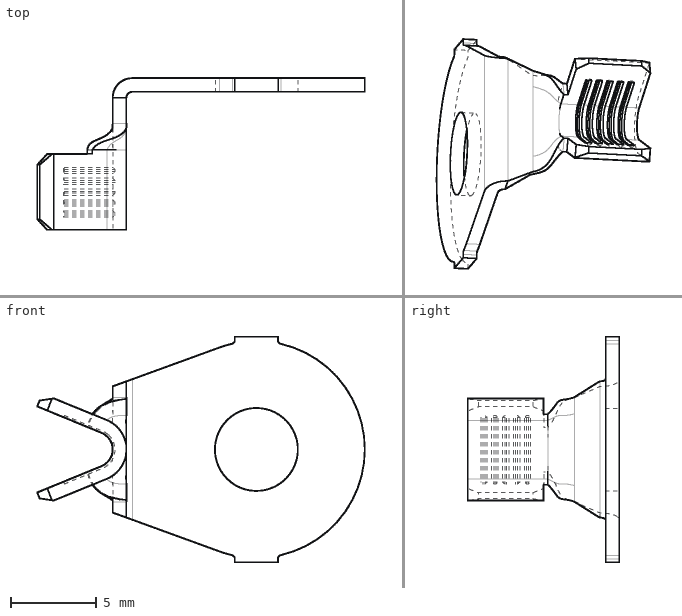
import cadquery as cq
import math


SHEET = 0.8128
OVERALL_X = 19.18
OVERALL_Y = 8.89
OVERALL_Z = 13.21

RING_RADIUS = 6.35
HOLE_RADIUS = 2.42
TAPER_ANGLE = math.radians(20)
TAB_WIDTH = 2.54
TAB_ROOT_FILLET = 0.2

BEND_INNER_RADIUS = 0.35
WEB_FRONT_X = -7.6
WEB_END_Y = -2.66
WEB_END_HALF = 3.05

CRADLE_LENGTH = 4.445
CRADLE_INNER_RADIUS = 1.05
ARM_ANGLE = math.radians(22.3)
TIP_BEVEL_LENGTH = 0.72
TIP_THICKNESS = 0.38
TIP_CORNER = 0.64

NECK_END_Y = -4.2
NECK_FLAT_ARM = 0.95
NECK_FINAL_ARM = 0.9
NECK_STEPS = 5

GROOVE_COUNT = 5
GROOVE_PITCH = 0.635
GROOVE_TOP_WIDTH = 0.37
GROOVE_FLOOR_WIDTH = 0.11
GROOVE_DEPTH = 0.127
GROOVE_END_HALF = 1.885

BEND_OUTER_RADIUS = BEND_INNER_RADIUS + SHEET
BEND_X = WEB_FRONT_X + BEND_INNER_RADIUS
WEB_BACK_X = WEB_FRONT_X - SHEET
BEND_END_Y = -BEND_OUTER_RADIUS

CRADLE_OUTER_RADIUS = CRADLE_INNER_RADIUS + SHEET
CRADLE_AXIS_X = WEB_FRONT_X - CRADLE_OUTER_RADIUS
CRADLE_FRONT_Y = -OVERALL_Y
CRADLE_BACK_Y = CRADLE_FRONT_Y + CRADLE_LENGTH
HALF_WRAP = math.pi / 2 - ARM_ANGLE
TIP_X = RING_RADIUS - OVERALL_X
ARM_LENGTH = (
    CRADLE_AXIS_X + CRADLE_INNER_RADIUS * math.sin(ARM_ANGLE) - TIP_X
) / math.cos(ARM_ANGLE)

ALONG_ARM = (-math.cos(ARM_ANGLE), 0, math.sin(ARM_ANGLE))
ARM_NORMAL = (math.sin(ARM_ANGLE), 0, math.cos(ARM_ANGLE))


def taper_half_height(x):
    """Half height of the tapered side edge, tangent to the ring, at a given x."""
    return (RING_RADIUS + x * math.sin(TAPER_ANGLE)) / math.cos(TAPER_ANGLE)


def mirrored(body):
    """The body joined with its mirror image across the XY mid-plane."""
    return body.union(body.mirror("XY"))


def tapered_outline(x_start, x_end):
    """Symmetric trapezoid bounded by the tapered side edges, spanning the plate and bend in Y."""
    z_start = taper_half_height(x_start)
    z_end = taper_half_height(x_end)
    return (
        cq.Workplane("XZ")
        .polyline([(x_start, -z_start), (x_end, -z_end), (x_end, z_end), (x_start, z_start)])
        .close()
    )


def ring_plate():
    """Round plate with its taper towards the bend, two side tabs and the hole."""
    tangent_x = -RING_RADIUS * math.sin(TAPER_ANGLE)
    plate = tapered_outline(BEND_X, tangent_x).extrude(SHEET)
    plate = plate.union(cq.Workplane("XZ").circle(RING_RADIUS).extrude(SHEET))
    plate = plate.union(cq.Workplane("XZ").rect(TAB_WIDTH, OVERALL_Z).extrude(SHEET))
    root_x = TAB_WIDTH / 2
    root_z = math.sqrt(RING_RADIUS**2 - root_x**2)
    for x in (-root_x, root_x):
        for z in (-root_z, root_z):
            corner = cq.selectors.NearestToPointSelector((x, -SHEET / 2, z))
            plate = plate.edges("|Y").edges(corner).fillet(TAB_ROOT_FILLET)
    return plate.cut(cq.Workplane("XZ").circle(HOLE_RADIUS).extrude(SHEET))


def plate_bend():
    """Quarter bend from the plate to the web, trimmed by the tapered side edges."""
    diagonal = math.sqrt(0.5)
    outer_mid = (BEND_X - BEND_OUTER_RADIUS * diagonal, BEND_END_Y + BEND_OUTER_RADIUS * diagonal)
    inner_mid = (BEND_X - BEND_INNER_RADIUS * diagonal, BEND_END_Y + BEND_INNER_RADIUS * diagonal)
    bend = (
        cq.Workplane("XY")
        .moveTo(BEND_X, 0)
        .threePointArc(outer_mid, (WEB_BACK_X, BEND_END_Y))
        .lineTo(WEB_FRONT_X, BEND_END_Y)
        .threePointArc(inner_mid, (BEND_X, -SHEET))
        .close()
        .extrude(OVERALL_Z / 2, both=True)
    )
    return bend.intersect(tapered_outline(WEB_BACK_X, BEND_X).extrude(BEND_OUTER_RADIUS))


def polygon_wire(points, y):
    """Closed wire through (x, z) points in the plane at the given y."""
    return cq.Wire.makePolygon([cq.Vector(x, y, z) for x, z in points], close=True)


def web():
    """Flat web, narrowing from the bend to the neck."""
    z_back = taper_half_height(WEB_BACK_X)
    z_front = taper_half_height(WEB_FRONT_X)
    start = polygon_wire(
        [(WEB_BACK_X, -z_back), (WEB_FRONT_X, -z_front), (WEB_FRONT_X, z_front), (WEB_BACK_X, z_back)],
        BEND_END_Y,
    )
    z_end = WEB_END_HALF
    end = polygon_wire(
        [(WEB_BACK_X, -z_end), (WEB_FRONT_X, -z_end), (WEB_FRONT_X, z_end), (WEB_BACK_X, z_end)],
        WEB_END_Y,
    )
    return cq.Workplane(cq.Solid.makeLoft([start, end], True))


def neck_section(y, progress):
    """Section of the neck: flat strip at progress 0, the cradle's bend with short arms at 1."""
    final_half_arc = (CRADLE_INNER_RADIUS + SHEET / 2) * HALF_WRAP
    flat_half_arc = WEB_END_HALF - NECK_FLAT_ARM
    half_arc = flat_half_arc + progress * (final_half_arc - flat_half_arc)
    arm = NECK_FLAT_ARM + progress * (NECK_FINAL_ARM - NECK_FLAT_ARM)
    wrap = HALF_WRAP * (progress**2 * (3 - 2 * progress)) ** 2

    def point(depth, side, reach):
        """Point at a depth below the outer face, reach beyond the arc end on one side."""
        if wrap == 0:
            return cq.Vector(WEB_FRONT_X - depth, y, side * (half_arc + reach))
        outer_radius = half_arc / wrap + SHEET / 2
        radius = outer_radius - depth
        x = WEB_FRONT_X - outer_radius + radius * math.cos(wrap) - reach * math.sin(wrap)
        z = radius * math.sin(wrap) + reach * math.cos(wrap)
        return cq.Vector(x, y, side * z)

    def face_edges(depth, side):
        """Arm, arc and arm along one face, running from one side to the other."""
        arc_start = point(depth, side, 0)
        arc_end = point(depth, -side, 0)
        if wrap == 0:
            middle = cq.Edge.makeLine(arc_start, arc_end)
        else:
            apex = cq.Vector(WEB_FRONT_X - depth, y, 0)
            middle = cq.Edge.makeThreePointArc(arc_start, apex, arc_end)
        return [
            cq.Edge.makeLine(point(depth, side, arm), arc_start),
            middle,
            cq.Edge.makeLine(arc_end, point(depth, -side, arm)),
        ]

    outer_face = face_edges(0, 1)
    inner_face = face_edges(SHEET, -1)
    far_end = cq.Edge.makeLine(point(0, -1, arm), point(SHEET, -1, arm))
    near_end = cq.Edge.makeLine(point(SHEET, 1, arm), point(0, 1, arm))
    return cq.Wire.assembleEdges(outer_face + [far_end] + inner_face + [near_end])


def neck():
    """Curl the flat web into the cradle section, then run straight into the cradle."""
    sections = []
    for step in range(NECK_STEPS + 1):
        progress = step / NECK_STEPS
        y = WEB_END_Y + progress * (NECK_END_Y - WEB_END_Y)
        sections.append(neck_section(y, progress))
    curled = cq.Workplane(cq.Solid.makeLoft(sections, False))
    straight_ends = [neck_section(NECK_END_Y, 1), neck_section(CRADLE_BACK_Y, 1)]
    straight = cq.Workplane(cq.Solid.makeLoft(straight_ends, True))
    return curled.union(straight)


def cradle_arm():
    """Upper arm: corners cut at 45 degrees and the outer face bevelled towards the tip."""
    front = -CRADLE_FRONT_Y
    back = -CRADLE_BACK_Y
    shoulder = ARM_LENGTH - TIP_CORNER
    plan = cq.Plane(origin=(CRADLE_AXIS_X, 0, 0), xDir=ALONG_ARM, normal=ARM_NORMAL)
    arm = (
        cq.Workplane(plan)
        .workplane(offset=CRADLE_INNER_RADIUS)
        .polyline([
            (0, back),
            (shoulder, back),
            (ARM_LENGTH, back + TIP_CORNER),
            (ARM_LENGTH, front - TIP_CORNER),
            (shoulder, front),
            (0, front),
        ])
        .close()
        .extrude(SHEET)
    )
    side = cq.Plane(origin=(CRADLE_AXIS_X, CRADLE_FRONT_Y, 0), xDir=ALONG_ARM, normal=(0, 1, 0))
    bevel = (
        cq.Workplane(side)
        .polyline([
            (ARM_LENGTH - TIP_BEVEL_LENGTH, CRADLE_OUTER_RADIUS),
            (ARM_LENGTH, CRADLE_OUTER_RADIUS),
            (ARM_LENGTH, CRADLE_INNER_RADIUS + TIP_THICKNESS),
        ])
        .close()
        .extrude(CRADLE_LENGTH)
    )
    return arm.cut(bevel)


def bend_sweep(profile):
    """Revolve an XY profile, drawn at mid-height, round the cradle axis over the whole bend."""
    wrap_degrees = math.degrees(HALF_WRAP)
    axis_start = (CRADLE_AXIS_X, 0, 0)
    axis_end = (CRADLE_AXIS_X, 1, 0)
    swept = profile.revolve(2 * wrap_degrees, axis_start, axis_end)
    return swept.rotate(axis_start, axis_end, -wrap_degrees)


def cradle():
    """Bend and two arms of the V-shaped cradle, without the grooves."""
    bend_profile = cq.Workplane("XY").polyline([
        (CRADLE_AXIS_X + CRADLE_INNER_RADIUS, CRADLE_FRONT_Y),
        (WEB_FRONT_X, CRADLE_FRONT_Y),
        (WEB_FRONT_X, CRADLE_BACK_Y),
        (CRADLE_AXIS_X + CRADLE_INNER_RADIUS, CRADLE_BACK_Y),
    ]).close()
    return bend_sweep(bend_profile).union(mirrored(cradle_arm()))


def grip_groove(y):
    """Cutter for one trapezoidal groove round the inside of the cradle, centred at y."""
    half_top = GROOVE_TOP_WIDTH / 2
    half_floor = GROOVE_FLOOR_WIDTH / 2
    floor_radius = CRADLE_INNER_RADIUS + GROOVE_DEPTH

    def profile(plane, axis_x, center):
        return cq.Workplane(plane).polyline([
            (axis_x + CRADLE_INNER_RADIUS, center - half_top),
            (axis_x + floor_radius, center - half_floor),
            (axis_x + floor_radius, center + half_floor),
            (axis_x + CRADLE_INNER_RADIUS, center + half_top),
        ]).close()

    arc_end_z = CRADLE_INNER_RADIUS * math.cos(ARM_ANGLE)
    straight_length = (GROOVE_END_HALF - arc_end_z) / math.sin(ARM_ANGLE)
    arm_root = cq.Plane(origin=(CRADLE_AXIS_X, 0, 0), xDir=ARM_NORMAL, normal=ALONG_ARM)
    arm_groove = profile(arm_root, 0, y).extrude(straight_length)
    return bend_sweep(profile("XY", CRADLE_AXIS_X, y)).union(mirrored(arm_groove))


def cradle_grooves():
    """Cutters for all the grooves, evenly spaced about the middle of the cradle length."""
    first_y = (CRADLE_FRONT_Y + CRADLE_BACK_Y - (GROOVE_COUNT - 1) * GROOVE_PITCH) / 2
    return [grip_groove(first_y + index * GROOVE_PITCH) for index in range(GROOVE_COUNT)]


result = ring_plate().union(plate_bend()).union(web()).union(neck()).union(cradle())
for groove in cradle_grooves():
    result = result.cut(groove)